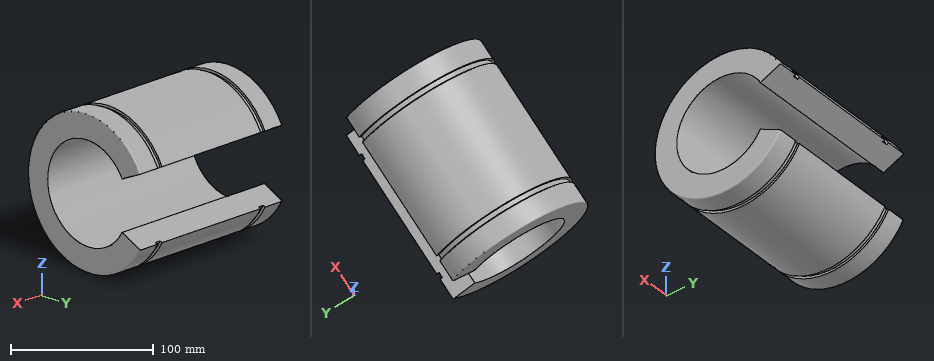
import cadquery as cq
import math

length = 140.0
outer_diameter = 120.0
bore_diameter = 80.0
groove_diameter = 116.0
groove_width = 4.15
groove_outer_spacing = 105.5
rim_fillet_radius = 1.0
slot_throat_width = 40.0
slot_angle = 50.0
cutter_clearance = 1.0

outer_radius = outer_diameter / 2
bore_radius = bore_diameter / 2


def slot_wall_point(radius):
    """(y, z) of the point where the upper slot wall meets a circle of the given radius."""
    throat_half_width = slot_throat_width / 2
    throat_y = math.sqrt(bore_radius**2 - throat_half_width**2)
    wall_y = math.cos(math.radians(slot_angle / 2))
    wall_z = math.sin(math.radians(slot_angle / 2))
    along = throat_y * wall_y + throat_half_width * wall_z
    reach = -along + math.sqrt(along**2 + radius**2 - bore_radius**2)
    return throat_y + reach * wall_y, throat_half_width + reach * wall_z


def make_sleeve():
    """C-shaped sleeve along X, centred on the origin and open towards +Y."""
    throat_y, throat_z = slot_wall_point(bore_radius)
    mouth_y, mouth_z = slot_wall_point(outer_radius)
    return (
        cq.Workplane("YZ", origin=(-length / 2, 0, 0))
        .moveTo(throat_y, throat_z)
        .lineTo(mouth_y, mouth_z)
        .threePointArc((-outer_radius, 0), (mouth_y, -mouth_z))
        .lineTo(throat_y, -throat_z)
        .threePointArc((-bore_radius, 0), (throat_y, throat_z))
        .close()
        .extrude(length)
    )


def round_rims(sleeve):
    """Round the outer circular edge at both ends."""
    rims = sleeve.faces("<X or >X").edges("%CIRCLE").edges(cq.selectors.RadiusNthSelector(-1))
    return rims.fillet(rim_fillet_radius)


def make_groove(start_x):
    """Ring that cuts one retaining-ring groove, beginning at start_x."""
    return (
        cq.Workplane("YZ", origin=(start_x, 0, 0))
        .circle(outer_radius + cutter_clearance)
        .circle(groove_diameter / 2)
        .extrude(groove_width)
    )


half_spacing = groove_outer_spacing / 2
result = round_rims(make_sleeve())
for groove_start in (-half_spacing, half_spacing - groove_width):
    result = result.cut(make_groove(groove_start))